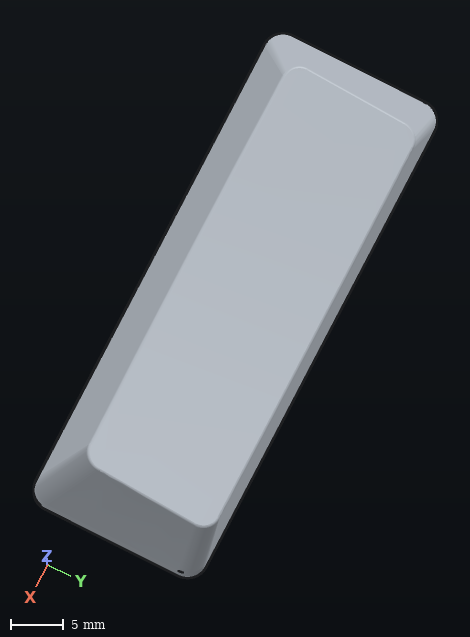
import cadquery as cq
import math

length = 51.5
width = 18.2
base_corner_radius = 2.0

skirt_height = 0.6
bevel_top = 1.35
bevel_side_inset = 0.2
bevel_front_inset = 0.15
bevel_back_inset = 0.05

top_length = 43.8
top_depth = 14.3
top_corner_radius = 1.85
top_tilt = math.radians(15)
top_centre_y = 1.75
top_centre_z = 8.1

dish_sag = 0.35
rim_radius = 0.3

dish_radius = (top_length ** 2 / 4 + dish_sag ** 2) / (2 * dish_sag)

base_plane = cq.Plane.XY()
skirt_plane = cq.Plane(origin=(0, 0, skirt_height))
bevel_plane = cq.Plane(origin=(0, (bevel_front_inset - bevel_back_inset) / 2, bevel_top))
top_plane = cq.Plane(
    origin=(0, top_centre_y, top_centre_z),
    xDir=(1, 0, 0),
    normal=(0, math.sin(top_tilt), math.cos(top_tilt)),
)


def rounded_outline(plane, size_x, size_y, radius):
    """Wire of a round-cornered rectangle centred on the plane's origin."""
    outline = cq.Sketch().rect(size_x, size_y).vertices().fillet(radius)
    return outline.reset().wires().val().moved(plane.location)


def make_body():
    """Skirt, bevel and walls, joined straight from one outline to the next."""
    bevel_length = length - 2 * bevel_side_inset
    bevel_width = width - bevel_front_inset - bevel_back_inset
    outlines = [
        rounded_outline(base_plane, length, width, base_corner_radius),
        rounded_outline(skirt_plane, length, width, base_corner_radius),
        rounded_outline(bevel_plane, bevel_length, bevel_width, base_corner_radius),
        rounded_outline(top_plane, top_length, top_depth, top_corner_radius),
    ]
    return cq.Workplane(cq.Solid.makeLoft(outlines, True))


def make_dish():
    """Very wide cylinder along the slope that hollows the top slightly."""
    across = cq.Plane(top_plane.origin, top_plane.xDir, -top_plane.yDir)
    return (
        cq.Workplane(across)
        .center(0, dish_radius - dish_sag)
        .circle(dish_radius)
        .extrude(top_depth, both=True)
    )


def round_rim(body):
    at_top_centre = cq.selectors.NearestToPointSelector(top_plane.origin.toTuple())
    return body.faces(at_top_centre).edges().fillet(rim_radius)


result = round_rim(make_body().cut(make_dish()))